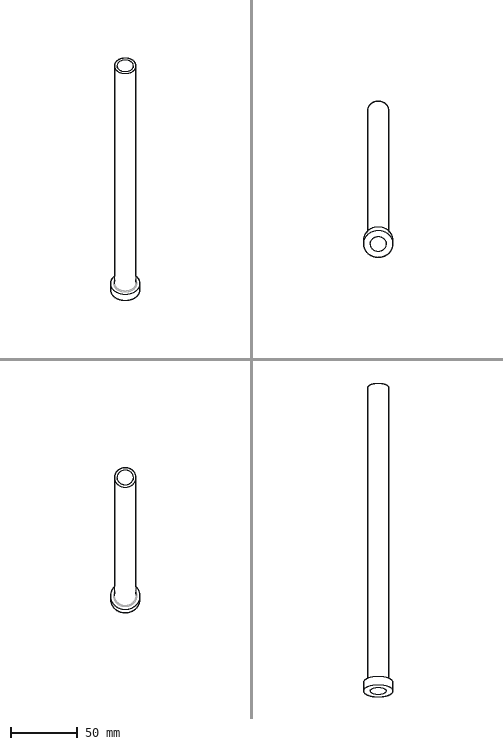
import cadquery as cq

total_length = 250.0
head_diameter = 22.0
head_height = 7.0
tube_diameter = 16.0
bore_diameter = 12.0
root_fillet = 0.7

head_radius = head_diameter / 2
tube_radius = tube_diameter / 2
bore_radius = bore_diameter / 2


def sleeve_section():
    """Wall section on the -X side of the axis, drawn in the XZ plane."""
    return (
        cq.Workplane("XZ")
        .moveTo(-bore_radius, 0)
        .lineTo(-head_radius, 0)
        .lineTo(-head_radius, head_height)
        .lineTo(-tube_radius - root_fillet, head_height)
        .radiusArc((-tube_radius, head_height + root_fillet), -root_fillet)
        .lineTo(-tube_radius, total_length)
        .lineTo(-bore_radius, total_length)
        .close()
    )


result = sleeve_section().revolve(360, (0, 0), (0, 1))